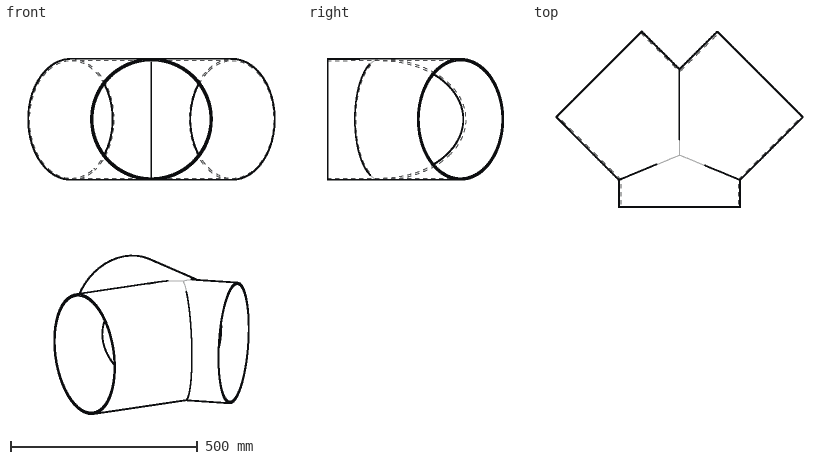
import cadquery as cq
import math

overall_width = 660.0
outer_diameter = 324.0
inner_diameter = 315.0
stem_length = 140.0
branch_angle = 45.0

outer_radius = outer_diameter / 2
angle = math.radians(branch_angle)
branch_length = (overall_width / 2 - outer_radius * math.cos(angle)) / math.sin(angle)

pipes = [
    (cq.Vector(0, -1, 0), stem_length),
    (cq.Vector(math.sin(angle), math.cos(angle), 0), branch_length),
    (cq.Vector(-math.sin(angle), math.cos(angle), 0), branch_length),
]


def joined_cylinders(diameter):
    """Union of three solid cylinders running out from the junction."""
    joined = cq.Workplane("XY")
    for direction, length in pipes:
        cylinder = cq.Solid.makeCylinder(diameter / 2, length, cq.Vector(0, 0, 0), direction)
        joined = joined.union(cq.Workplane("XY").add(cylinder))
    return joined


result = joined_cylinders(outer_diameter).cut(joined_cylinders(inner_diameter))